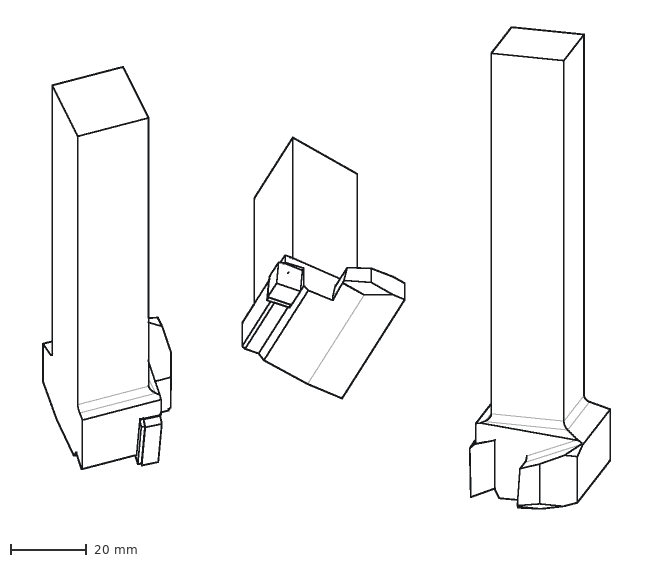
import cadquery as cq
import math

total_height = 126.4
head_depth = 32.3

shank_side = 20.0
shank_left = 7.2
shank_base = 22.6
shank_right = shank_left + shank_side
root_radius = 1.9

head_width = 30.8
shoulder_drop = math.tan(math.radians(15))
wall_left_depth = 25.6
wall_right_depth = 22.1
left_bottom = 6.2
heel_x, heel_z = 10.7, 2.1
toe_x, toe_z = 24.1, 1.4
notch_x, notch_z = 25.8, 4.4
nose_x, nose_z = 30.0, 2.0
nose_chamfer = head_width - nose_x

boss_width = 17.4
boss_wall_width = 16.9
boss_top_inset = 1.0
boss_back_width = 10.4
boss_side_depth = 29.7
boss_ridge_x = 3.5
boss_slope = math.tan(math.radians(25))
boss_chamfer_depth = 3.2
boss_chamfer_top = 4.8
boss_root_radius = 1.3

insert_right = 32.6
insert_width = 7.2
insert_edge_height = 14.3
insert_corner = 1.5
insert_end_slope = math.tan(math.radians(26))
insert_back = 20.7
insert_plate_thickness = 4.7
insert_step_thickness = 1.0
insert_step_inset = 0.4
insert_lean = 4


def front_prism(points, front, back):
    """Extrude an XZ outline between two Y positions."""
    return cq.Workplane("XZ", origin=(0, front, 0)).polyline(points).close().extrude(front - back)


def side_prism(points, width):
    """Extrude a YZ outline along X from the left side."""
    return cq.Workplane("YZ").polyline(points).close().extrude(width)


def plan_prism(points):
    """Extrude an XY outline through the whole head height."""
    return cq.Workplane("XY").polyline(points).close().extrude(shank_base)


def ridge_height():
    """Height of the back slope where it meets the rear face."""
    return shank_base - shoulder_drop * (head_depth - shank_side)


def make_head_block():
    outline = [
        (0, left_bottom),
        (heel_x, heel_z),
        (toe_x, toe_z),
        (notch_x, notch_z),
        (nose_x, nose_z),
        (head_width, nose_z + nose_chamfer),
        (head_width, shank_base - shoulder_drop * (head_width - shank_right)),
        (shank_right, shank_base),
        (shank_left, shank_base),
        (0, shank_base - shoulder_drop * shank_left),
    ]
    back_slope = [
        (0, 0),
        (head_depth, 0),
        (head_depth, ridge_height()),
        (shank_side, shank_base),
        (0, shank_base),
    ]
    return front_prism(outline, 0, head_depth).intersect(side_prism(back_slope, head_width))


def make_boss():
    plan = [
        (0, 0),
        (0, head_depth),
        (boss_back_width, head_depth),
        (boss_width, boss_side_depth),
        (boss_wall_width, wall_right_depth),
        (boss_wall_width, 0),
    ]
    ridge_z = ridge_height()
    right_top = ridge_z - boss_slope * (boss_width - boss_ridge_x)
    sloping_top = [
        (0, 0),
        (boss_width, 0),
        (boss_width - boss_top_inset, right_top + boss_slope * boss_top_inset),
        (0, ridge_z + boss_slope * boss_ridge_x),
    ]
    bottom_chamfer = [
        (head_depth - boss_chamfer_depth, 0),
        (head_depth - boss_chamfer_depth, heel_z),
        (head_depth, boss_chamfer_top),
        (head_depth, 0),
    ]
    boss = plan_prism(plan).intersect(front_prism(sloping_top, 0, head_depth))
    return boss.cut(side_prism(bottom_chamfer, boss_width))


def make_head():
    plan = [(0, 0), (0, wall_left_depth), (head_width, wall_right_depth), (head_width, 0)]
    body = plan_prism(plan).union(make_boss())

    wall_slope = (wall_left_depth - wall_right_depth) / head_width
    corner_x = boss_wall_width / 2
    corner_y = wall_left_depth - wall_slope * corner_x
    boss_corner_z = ridge_height() - boss_slope * (corner_x - boss_ridge_x)
    corner = cq.selectors.NearestToPointSelector((corner_x, corner_y, boss_corner_z))
    body = body.edges(corner).fillet(boss_root_radius)

    return body.intersect(make_head_block())


def make_shank():
    return cq.Workplane("XY").box(
        shank_side, shank_side, total_height - shank_base, centered=False
    ).translate((shank_left, 0, shank_base))


def make_holder(pocket):
    holder = make_head().union(make_shank())
    margin = 0.1
    root_edges = cq.selectors.BoxSelector(
        (shank_left - margin, margin, shank_base - margin),
        (shank_right + margin, shank_side + margin, shank_base + margin),
    )
    holder = holder.edges(root_edges).fillet(root_radius)
    return holder.cut(pocket)


def insert_layer(inset, front, back):
    """One layer of the insert, with its outer edges moved in by the inset."""
    right = insert_right - inset
    left = insert_right - insert_width
    rise = insert_end_slope * (right - left)
    outline = [
        (right, inset),
        (right, insert_edge_height),
        (right - insert_corner, insert_edge_height + insert_corner),
        (left, insert_edge_height + rise),
        (left, inset + rise),
    ]
    return front_prism(outline, front, back)


def make_insert(back):
    plate_front = insert_back - insert_plate_thickness
    step_front = plate_front - insert_step_thickness
    plate = insert_layer(0, plate_front, back)
    step = insert_layer(insert_step_inset, step_front, plate_front)
    pivot = (0, insert_back, 0)
    return plate.union(step).rotate(pivot, (1, insert_back, 0), -insert_lean)


insert = make_insert(insert_back)
pocket = make_insert(head_depth)
holder = make_holder(pocket)

result = cq.Compound.makeCompound([holder.val(), insert.val()])